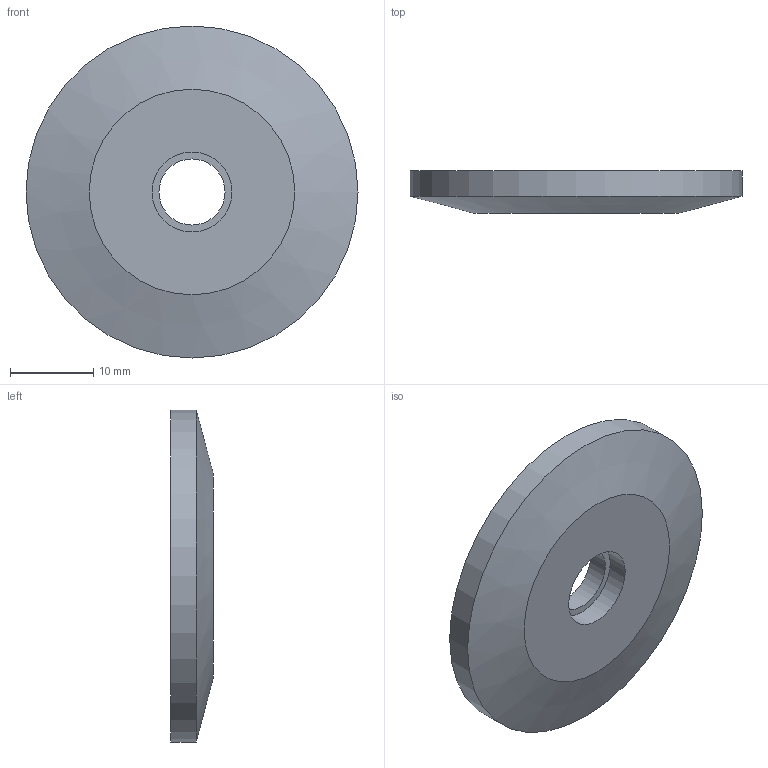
import cadquery as cq

outer_diameter = 39.88
thickness = 5.08

front_face_diameter = 24.7
cone_height = 2.03

bore_diameter = 7.94
counterbore_diameter = 9.6
counterbore_depth = 2.54

front_y = -thickness / 2
back_y = thickness / 2


def make_disc():
    """Solid disc with a conical front, revolved about the Y axis."""
    outer_radius = outer_diameter / 2
    profile = (
        cq.Workplane("XY")
        .moveTo(0, front_y)
        .lineTo(front_face_diameter / 2, front_y)
        .lineTo(outer_radius, front_y + cone_height)
        .lineTo(outer_radius, back_y)
        .lineTo(0, back_y)
        .close()
    )
    return profile.revolve(360, (0, 0, 0), (0, 1, 0))


def cut_centre_hole(disc):
    """Through bore with a counterbore entering from the front face."""
    front_plane = cq.Workplane("XZ", origin=(0, front_y, 0))
    return disc.cut(
        front_plane.circle(bore_diameter / 2).extrude(-thickness)
    ).cut(
        front_plane.circle(counterbore_diameter / 2).extrude(-counterbore_depth)
    )


result = cut_centre_hole(make_disc())